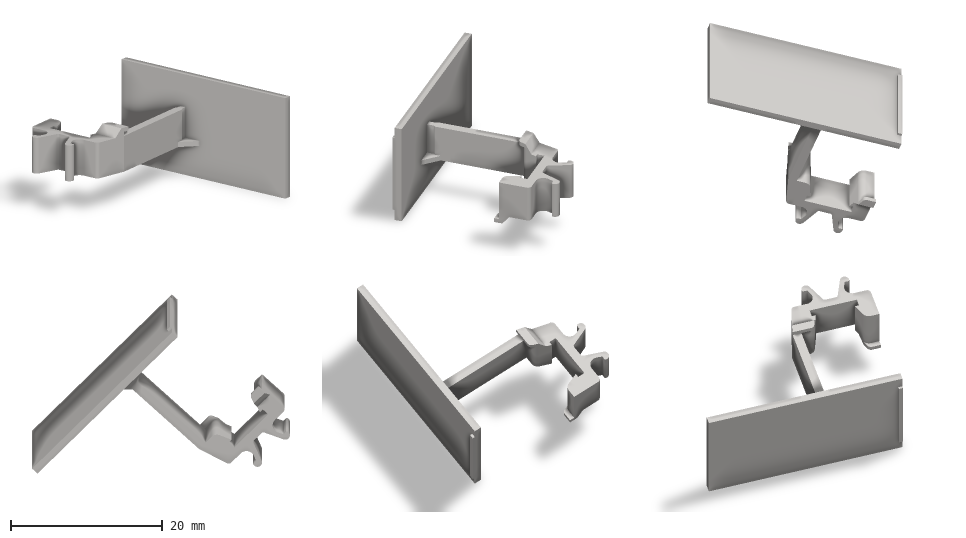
import cadquery as cq
import math

TOTAL_LENGTH_X = 28.0
TOTAL_DEPTH_Y = 23.0
CLIP_HEIGHT = 5.0
HALF_HEIGHT = CLIP_HEIGHT / 2

PLATE_HEIGHT = 14.05
PLATE_THICKNESS = 1.0
PLATE_LEFT = 1.35
RIB_WIDTH = 0.6
RIB_HEIGHT = 11.0
RIB_DEPTH = 0.33
PLATE_BACK = TOTAL_DEPTH_Y - RIB_DEPTH
PLATE_FRONT = PLATE_BACK - PLATE_THICKNESS

CLIP_CENTER = 5.4
BASE_FRONT = 3.1
BASE_THICKNESS = 1.2
LEDGE_DEPTH = 1.0
SLOT_FLOOR = BASE_FRONT + BASE_THICKNESS
LEDGE_Y = SLOT_FLOOR + LEDGE_DEPTH
SLOT_HALF_WIDTH = 3.25
MOUTH_HALF_WIDTH = 2.7
MOUTH_ANGLE = math.radians(21)
JAW_BACK = 7.5
JAW_BACK_RIGHT = 12.0
RIGHT_SIDE_ANGLE = math.radians(15)
FRONT_CORNER_RADIUS = 0.5
JAW_TIP_RADIUS = 1.0

HOOK_RISE = 1.17
LIP_THICKNESS = HOOK_RISE / 2
LIP_BACK = 8.17
LIP_TIP_RADIUS = 0.6
RAMP_START = 6.05
RAMP_ANGLE = math.radians(40)

ARM_THICKNESS = 1.2
ARM_CENTER = JAW_BACK_RIGHT - ARM_THICKNESS / 2
NECK_THICKNESS = 0.8
NECK_LENGTH = 0.95
NECK_TAPER = 0.2
GUSSET_LEG = 2.0
GUSSET_THICKNESS = 0.7

LEG_ANGLE = math.radians(23)
LEG_THICKNESS = 0.67
LEG_ROOT_RADIUS = 1.05
LEG_INNER_RADIUS = 0.3
FOOT_RADIUS = 0.61
FOOT_TOP = 0.92
FOOT_CORNER_RADIUS = 0.2


def box(x0, x1, y0, y1, z0, z1):
    return cq.Workplane("XY").box(x1 - x0, y1 - y0, z1 - z0, centered=False).translate((x0, y0, z0))


def prism(points, z0, z1):
    """Polygon in the XY plane, extruded from z0 to z1."""
    return cq.Workplane("XY").workplane(offset=z0).polyline(points).close().extrude(z1 - z0)


def right_side_x(y):
    """X of the sloped right side of the clip at depth y."""
    return JAW_BACK_RIGHT + (y - JAW_BACK) * math.tan(RIGHT_SIDE_ANGLE)


def make_plate():
    plate = box(PLATE_LEFT, TOTAL_LENGTH_X, PLATE_FRONT, PLATE_BACK, -PLATE_HEIGHT / 2, PLATE_HEIGHT / 2)
    rib = box(PLATE_LEFT, PLATE_LEFT + RIB_WIDTH, PLATE_BACK, TOTAL_DEPTH_Y, -RIB_HEIGHT / 2, RIB_HEIGHT / 2)
    return plate.union(rib)


def make_arm():
    half_arm = ARM_THICKNESS / 2
    half_neck = NECK_THICKNESS / 2
    neck_start = PLATE_FRONT - NECK_LENGTH
    taper_start = neck_start - NECK_TAPER
    right_half = [
        (half_arm, JAW_BACK),
        (half_arm, taper_start),
        (half_neck, neck_start),
        (half_neck, PLATE_FRONT),
    ]
    left_half = [(-x, y) for x, y in reversed(right_half)]
    outline = [(ARM_CENTER + x, y) for x, y in right_half + left_half]
    return prism(outline, -HALF_HEIGHT, HALF_HEIGHT)


def make_gusset():
    half_arm = ARM_THICKNESS / 2
    outline = [
        (ARM_CENTER - half_arm - GUSSET_LEG, PLATE_FRONT),
        (ARM_CENTER - half_arm, PLATE_FRONT - GUSSET_LEG),
        (ARM_CENTER + half_arm, PLATE_FRONT - GUSSET_LEG),
        (ARM_CENTER + half_arm + GUSSET_LEG, PLATE_FRONT),
    ]
    return prism(outline, -HALF_HEIGHT, -HALF_HEIGHT + GUSSET_THICKNESS)


def make_jaws(back, tip_radius, z0, z1):
    """Base with both jaws reaching back to the given depth, between two heights."""
    block = prism(
        [(0, BASE_FRONT), (right_side_x(BASE_FRONT), BASE_FRONT), (right_side_x(back), back), (0, back)],
        z0,
        z1,
    )
    block = block.edges("|Z and <Y").fillet(FRONT_CORNER_RADIUS)
    slot = box(CLIP_CENTER - SLOT_HALF_WIDTH, CLIP_CENTER + SLOT_HALF_WIDTH, SLOT_FLOOR, LEDGE_Y, z0, z1)
    back_half_width = MOUTH_HALF_WIDTH + (back - LEDGE_Y) * math.tan(MOUTH_ANGLE)
    mouth_left = CLIP_CENTER - back_half_width
    mouth_right = CLIP_CENTER + back_half_width
    mouth = prism(
        [
            (CLIP_CENTER - MOUTH_HALF_WIDTH, LEDGE_Y),
            (CLIP_CENTER + MOUTH_HALF_WIDTH, LEDGE_Y),
            (mouth_right, back),
            (mouth_left, back),
        ],
        z0,
        z1,
    )
    jaws = block.cut(slot).cut(mouth)
    for tip_x in (mouth_left, mouth_right):
        tip_edge = cq.selectors.NearestToPointSelector((tip_x, back, (z0 + z1) / 2))
        jaws = jaws.edges("|Z").edges(tip_edge).fillet(tip_radius)
    return jaws


def make_hook_pair():
    """Ramped hooks above both jaws, each with a lip overhanging the back."""
    top = HALF_HEIGHT + HOOK_RISE
    stem = make_jaws(JAW_BACK, JAW_TIP_RADIUS, HALF_HEIGHT, top)
    lip = make_jaws(LIP_BACK, LIP_TIP_RADIUS, top - LIP_THICKNESS, top)
    ramp_end = RAMP_START + HOOK_RISE * math.tan(RAMP_ANGLE)
    side_profile = [(RAMP_START, HALF_HEIGHT), (ramp_end, top), (LIP_BACK, top), (LIP_BACK, HALF_HEIGHT)]
    envelope = cq.Workplane("YZ").polyline(side_profile).close().extrude(TOTAL_LENGTH_X)
    return stem.union(lip).intersect(envelope)


def make_hooks():
    hooks = make_hook_pair()
    right_region = box(CLIP_CENTER, TOTAL_LENGTH_X, 0, TOTAL_DEPTH_Y, 0, PLATE_HEIGHT)
    right_hook = hooks.intersect(right_region)
    left_hook = hooks.cut(right_region).mirror("XY")
    return right_hook.union(left_hook)


def make_left_leg():
    cos_leg = math.cos(LEG_ANGLE)
    sin_leg = math.sin(LEG_ANGLE)

    def on_circle(center, radius, angle):
        return (center[0] + radius * math.cos(angle), center[1] + radius * math.sin(angle))

    root_center = (CLIP_CENTER - SLOT_HALF_WIDTH, BASE_FRONT - LEG_ROOT_RADIUS)
    root_start = (root_center[0], BASE_FRONT)
    root_mid = on_circle(root_center, LEG_ROOT_RADIUS, (math.pi / 2 - LEG_ANGLE) / 2)
    root_end = on_circle(root_center, LEG_ROOT_RADIUS, -LEG_ANGLE)

    def outer_face_x(y):
        return root_end[0] + (y - root_end[1]) * math.tan(LEG_ANGLE)

    def inner_face_x(y):
        return outer_face_x(y) + LEG_THICKNESS / cos_leg

    foot_center = (inner_face_x(FOOT_RADIUS) - FOOT_RADIUS / cos_leg, FOOT_RADIUS)
    foot_left = foot_center[0] - FOOT_RADIUS
    foot_mid = (foot_center[0], 0)
    foot_end = on_circle(foot_center, FOOT_RADIUS, -LEG_ANGLE)
    corner_center = (foot_left + FOOT_CORNER_RADIUS, FOOT_TOP - FOOT_CORNER_RADIUS)
    corner_mid = on_circle(corner_center, FOOT_CORNER_RADIUS, 3 * math.pi / 4)

    fillet_y = BASE_FRONT - LEG_INNER_RADIUS
    fillet_center = (inner_face_x(fillet_y) + LEG_INNER_RADIUS / cos_leg, fillet_y)
    fillet_start = (fillet_center[0] - LEG_INNER_RADIUS * cos_leg, fillet_y + LEG_INNER_RADIUS * sin_leg)
    fillet_mid = on_circle(fillet_center, LEG_INNER_RADIUS, (3 * math.pi / 2 - LEG_ANGLE) / 2)
    fillet_end = (fillet_center[0], BASE_FRONT)

    return (
        cq.Workplane("XY")
        .workplane(offset=-HALF_HEIGHT)
        .moveTo(*root_start)
        .threePointArc(root_mid, root_end)
        .lineTo(outer_face_x(FOOT_TOP), FOOT_TOP)
        .lineTo(corner_center[0], FOOT_TOP)
        .threePointArc(corner_mid, (foot_left, corner_center[1]))
        .lineTo(foot_left, FOOT_RADIUS)
        .threePointArc(foot_mid, foot_end)
        .lineTo(*fillet_start)
        .threePointArc(fillet_mid, fillet_end)
        .lineTo(fillet_end[0], SLOT_FLOOR)
        .lineTo(root_start[0], SLOT_FLOOR)
        .close()
        .extrude(CLIP_HEIGHT)
    )


left_leg = make_left_leg()
right_leg = left_leg.mirror("YZ", (CLIP_CENTER, 0, 0))

result = (
    make_jaws(JAW_BACK, JAW_TIP_RADIUS, -HALF_HEIGHT, HALF_HEIGHT)
    .union(make_hooks())
    .union(left_leg)
    .union(right_leg)
    .union(make_arm())
    .union(make_gusset())
    .union(make_plate())
)